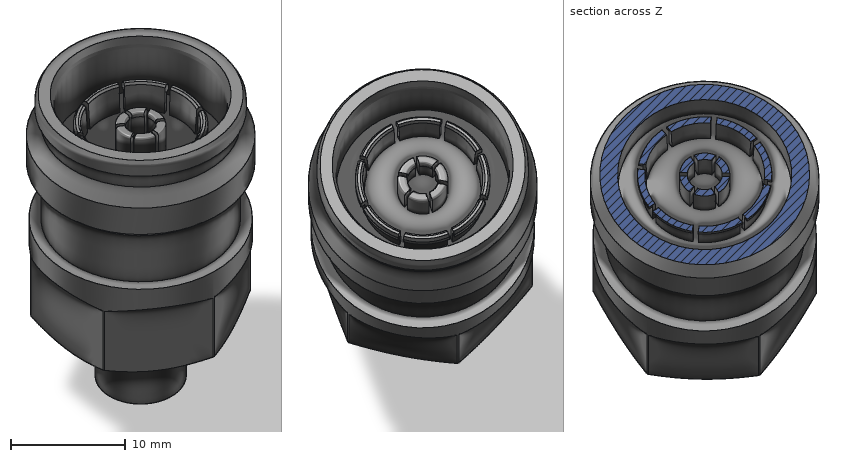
import cadquery as cq
import math

length = 32.0

ferrule_radius = 4.0
ferrule_top = 4.85
neck_radius = 3.2
neck_bottom = 5.75

nut_bottom = 7.05
nut_top = 17.95
nut_radius = 9.75
across_flats = 17.0
flats_top = 14.98
chamfer_slope = math.tan(math.radians(30))
nut_end_radius = 7.65

sleeve_radius = 8.75
belt_radius = 20.0 / 2
belt_cone_bottom = 23.2
belt_bottom = 24.4
belt_top = 27.42
belt_cone_top = 28.77
lip_radius = 9.25
lip_bottom = 30.43
lip_front_radius = 8.95
lip_taper = math.tan(math.radians(30))
lip_rounding = 0.65

bore_radius = 7.6
mouth_radius = 7.9
mouth_taper = math.tan(math.radians(20))
mouth_rounding = 0.95
bore_floor = 25.92

outer_ring_top = 28.9
outer_bead_radius = 5.9
outer_bead_height = 0.85
outer_waist_radius = 5.5
outer_tip_bore = 5.25
outer_base_bore = 5.1
outer_tip_chamfer = 0.2
outer_tip_chamfer_height = 0.32
outer_slot_width = 0.48
outer_slot_count = 8

inner_ring_top = 28.8
inner_ring_radius = 2.2
inner_bead_bore = 1.35
inner_bead_height = 0.48
inner_waist_bore = 1.5
inner_ring_rounding = 0.25
inner_slot_width = 0.32
inner_slot_count = 6

cutter_overrun = 0.32
height_tolerance = 0.0003


def revolve_profile(points):
    """Revolve a closed (radius, height) outline about the Z axis."""
    outline = cq.Workplane("XZ").polyline(points).close()
    return outline.revolve(360, (0, 0), (0, 1))


def edges_at_height(solid, height):
    """Select the circular edges lying at one height on the axis."""
    return solid.edges().filter(lambda edge: abs(edge.Center().z - height) < height_tolerance)


def make_shell():
    """Turned outer body, solid up to the front face."""
    nut_chamfer_top = nut_bottom + (nut_radius - nut_end_radius) * chamfer_slope
    lip_taper_bottom = length - (lip_radius - lip_front_radius) / lip_taper
    body = revolve_profile([
        (0, 0),
        (ferrule_radius, 0),
        (ferrule_radius, ferrule_top),
        (neck_radius, neck_bottom),
        (neck_radius, nut_bottom),
        (nut_end_radius, nut_bottom),
        (nut_radius, nut_chamfer_top),
        (nut_radius, nut_top),
        (sleeve_radius, nut_top),
        (sleeve_radius, belt_cone_bottom),
        (belt_radius, belt_bottom),
        (belt_radius, belt_top),
        (sleeve_radius, belt_cone_top),
        (sleeve_radius, lip_bottom),
        (lip_radius, lip_bottom),
        (lip_radius, lip_taper_bottom),
        (lip_front_radius, length),
        (0, length),
    ])
    return edges_at_height(body, lip_taper_bottom).fillet(lip_rounding)


def cut_hex_flats(body):
    """Mill six wrench flats, each running out upwards on a sloped face."""
    flat = across_flats / 2
    reach = nut_radius + cutter_overrun
    runout_top = flats_top + (reach - flat) * chamfer_slope
    cutter = (
        cq.Workplane("YZ")
        .polyline([
            (flat, nut_bottom),
            (reach, nut_bottom),
            (reach, runout_top),
            (flat, flats_top),
        ])
        .close()
        .extrude(nut_radius, both=True)
    )
    for side in range(6):
        body = body.cut(cutter.rotate((0, 0, 0), (0, 0, 1), 60 * side))
    return body


def make_socket():
    """Space removed from the front: bore with a tapered mouth."""
    taper_bottom = length - (mouth_radius - bore_radius) / mouth_taper
    socket = revolve_profile([
        (0, bore_floor),
        (bore_radius, bore_floor),
        (bore_radius, taper_bottom),
        (mouth_radius, length),
        (0, length),
    ])
    return edges_at_height(socket, taper_bottom).fillet(mouth_rounding)


def cut_finger_slots(ring, radius, top, slot_width, slot_count, first_angle):
    """Split a contact ring into fingers with slots down to the socket floor."""
    slot = (
        cq.Workplane("XY", origin=(0, 0, bore_floor))
        .rect(2 * (radius + cutter_overrun), slot_width)
        .extrude(top - bore_floor)
    )
    for index in range(slot_count // 2):
        angle = first_angle + index * 360 / slot_count
        ring = ring.cut(slot.rotate((0, 0, 0), (0, 0, 1), angle))
    return ring


def make_outer_ring():
    """Outer contact ring, beaded on the outside and chamfered at the tip."""
    bead_bottom = outer_ring_top - outer_bead_height
    outside_chamfer_bottom = outer_ring_top - outer_tip_chamfer_height
    inside_chamfer_bottom = outer_ring_top - outer_tip_chamfer
    ring = revolve_profile([
        (outer_base_bore, bore_floor),
        (outer_waist_radius, bore_floor),
        (outer_waist_radius, bead_bottom),
        (outer_bead_radius, bead_bottom),
        (outer_bead_radius, outside_chamfer_bottom),
        (outer_bead_radius - outer_tip_chamfer, outer_ring_top),
        (outer_tip_bore + outer_tip_chamfer, outer_ring_top),
        (outer_tip_bore, inside_chamfer_bottom),
    ])
    half_pitch = 180 / outer_slot_count
    return cut_finger_slots(
        ring, outer_bead_radius, outer_ring_top,
        outer_slot_width, outer_slot_count, half_pitch,
    )


def make_inner_ring():
    """Inner contact ring, beaded on the inside and rounded at the tip."""
    bead_bottom = inner_ring_top - inner_bead_height
    ring = revolve_profile([
        (inner_waist_bore, bore_floor),
        (inner_ring_radius, bore_floor),
        (inner_ring_radius, inner_ring_top),
        (inner_bead_bore, inner_ring_top),
        (inner_bead_bore, bead_bottom),
        (inner_waist_bore, bead_bottom),
    ])
    ring = ring.faces(">Z").edges().fillet(inner_ring_rounding)
    return cut_finger_slots(
        ring, inner_ring_radius, inner_ring_top,
        inner_slot_width, inner_slot_count, 0,
    )


shell = cut_hex_flats(make_shell()).cut(make_socket())
result = shell.union(make_outer_ring()).union(make_inner_ring())